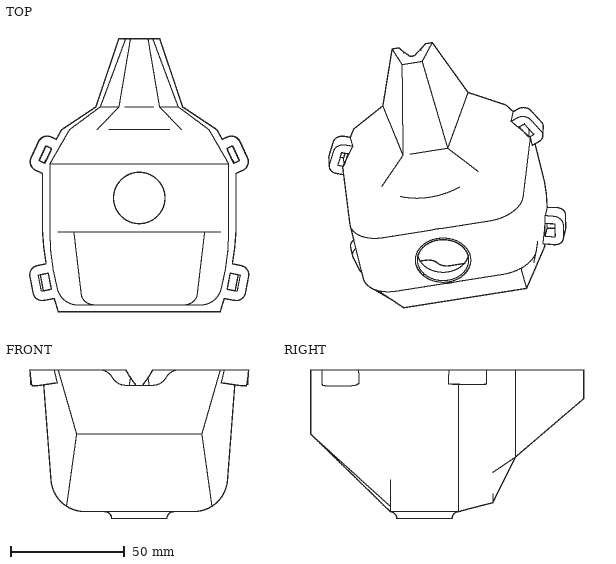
import cadquery as cq
import math

FRONT_Y = 0.0
BOX_START_Y = 35.0
BOX_END_Y = 65.0
SHOULDER_Y = 80.0
SPOUT_ROOT_Y = 90.0
SPOUT_TIP_Y = 120.0

BOX_RIM_HALF = 42.5
BOX_FLOOR_HALF = 37.75
BOX_DEPTH = 62.31
BOX_RADIUS = 15.0
SIDE_WALL = 3.25
WALL = 3.0

FRONT_RIM_HALF = 35.6
FRONT_CORNER_HALF = 27.5
FRONT_DEPTH = 28.2
CAVITY_FRONT_RIM_HALF = 33.8
CAVITY_FRONT_CORNER_HALF = 24.9
CAVITY_FRONT_DEPTH = 26.9
CAVITY_CORNER_RADIUS = 9.0
FRONT_FLARE_STEPS = 3
FRONT_FLARE_POWER = 1.6
CAVITY_FLARE_POWER = 2.0
FRONT_SIDE_FRACTION = 0.8
FLOOR_FRACTION = 0.7

SHOULDER_OUTER = (34.1, 24.0, 34.0, 58.4)
SHOULDER_INNER = (30.6, 20.4, 34.0, 55.4)

SPOUT_ROOT_OUTER = (19.1, 10.0, 38.3)
SPOUT_ROOT_INNER = (17.1, 8.9, 34.3)
SPOUT_TIP_OUTER = (9.0, 4.5, 12.65)
SHOULDER_SEAM_FRACTION = 0.64
SPOUT_SEAM_FRACTION = 0.95
SPOUT_TIP_INNER_HALF = 5.9
SPOUT_TIP_INNER_DEPTH = 7.6
SPOUT_TIP_POWER = 1.4

DRAIN_Y = 50.0
DRAIN_DIAMETER = 22.5
COLLAR_DIAMETER = 24.4
COLLAR_HEIGHT = 3.0

NOTCH_TOP_HALF = 17.6
NOTCH_FLOOR_HALF = 6.0
NOTCH_DEPTH = 6.8

LUG_HEIGHT = 6.3
LUG_CORNER_RADIUS = 4.2
LUG_REACH_INWARD = 5.0
SLOT_LENGTH = 7.1
FRONT_LUG = (41.5, 13.0, -10.9, 8.5, 15.7, 4.4, 5.9)
REAR_LUG = (41.3, 69.1, 24.8, 2.0, 16.2, 2.8, 5.1)

STRAIGHT_TOLERANCE = 1e-6
EDGE_MARGIN = 0.1

BOX_ARC_FRACTIONS = (0, 0.31, 0.62, 0.81, 1)
BOWL_ARC_FRACTIONS = (1, 0.85, 0.7, 0.5, 0.3, 0)
TIP_WIDTH_FRACTIONS = (1, 0.98, 0.85, 0.65, 0.5, 0.3, 0)


def blend(start, end, fraction):
    return start + (end - start) * fraction


def blend_points(start, end, fraction):
    return [
        (blend(a[0], b[0], fraction), blend(a[1], b[1], fraction))
        for a, b in zip(start, end)
    ]



def box_half(rim, floor, depth, radius):
    """Tapered side, corner rounded tangent to side and floor, flat floor."""
    lean = math.atan2(rim - floor, depth)
    tangent = radius * math.tan(math.pi / 4 - lean / 2)
    center_x = floor - tangent
    center_z = radius - depth
    points = [(rim, 0.0)]
    for fraction in BOX_ARC_FRACTIONS:
        angle = blend(-lean, -math.pi / 2, fraction)
        points.append((center_x + radius * math.cos(angle), center_z + radius * math.sin(angle)))
    return points + [(0.0, -depth)]


def sharp_half(rim, corner, depth, side=FRONT_SIDE_FRACTION):
    """Straight side and bottom meeting at a sharp corner."""
    floor = FLOOR_FRACTION
    top = (rim, 0.0)
    tip = (corner, -depth)
    center = (0.0, -depth)
    corner_points = [
        blend_points([top], [tip], side)[0],
        blend_points([top], [tip], (1 + side) / 2)[0],
        tip,
        (corner * (1 + floor) / 2, -depth),
        (corner * floor, -depth),
    ]
    return [top] + corner_points + [center]


def bowl_half(rim, foot, foot_depth, depth):
    """Straight side down to one round bottom."""
    rise = depth - foot_depth
    radius = (foot ** 2 + rise ** 2) / (2 * rise)
    sweep = math.atan2(foot, radius - rise)
    points = [(rim, 0.0)]
    for fraction in BOWL_ARC_FRACTIONS:
        angle = sweep * fraction
        points.append((radius * math.sin(angle), radius - depth - radius * math.cos(angle)))
    return points


def tip_half(rim, depth):
    """Rounded V at the end of the spout."""
    return [
        (rim * share, -depth * (1 - share ** SPOUT_TIP_POWER))
        for share in TIP_WIDTH_FRACTIONS
    ]


def is_straight(start, middle, end):
    run = (end[0] - start[0], end[1] - start[1])
    part = (middle[0] - start[0], middle[1] - start[1])
    return abs(part[0] * run[1] - part[1] * run[0]) < STRAIGHT_TOLERANCE


def section_wire(y, half):
    """Closed symmetric outline in the plane at the given Y."""
    def place(point, side=1):
        return cq.Vector(side * point[0], y, point[1])

    def curve(start, middle, end, straight):
        if straight:
            return cq.Edge.makeLine(start, end)
        return cq.Edge.makeThreePointArc(start, middle, end)

    rim, foot, upper, corner, lower, floor_end, center = half
    bends = [(foot, upper, corner), (corner, lower, floor_end)]
    edges = [cq.Edge.makeLine(place(rim), place(foot))]
    for bend in bends:
        edges.append(curve(*[place(p) for p in bend], is_straight(*bend)))
    flat_floor = abs(floor_end[1] - center[1]) < STRAIGHT_TOLERANCE
    edges.append(curve(place(floor_end), place(center), place(floor_end, -1), flat_floor))
    for bend in reversed(bends):
        edges.append(curve(*[place(p, -1) for p in reversed(bend)], is_straight(*bend)))
    edges.append(cq.Edge.makeLine(place(foot, -1), place(rim, -1)))
    edges.append(cq.Edge.makeLine(place(rim, -1), place(rim)))
    return cq.Wire.assembleEdges(edges)


def loft(stations, ruled=True):
    wires = [section_wire(y, half) for y, half in stations]
    return cq.Workplane(obj=cq.Solid.makeLoft(wires, ruled))


def front_stations(start_y, front, box, power):
    """Sections from the front to the box; only the rim width follows a curve."""
    stations = []
    for step in range(FRONT_FLARE_STEPS + 1):
        fraction = step / FRONT_FLARE_STEPS
        half = blend_points(front, box, fraction)
        flare = 1 - (1 - fraction) ** power
        half[0] = (blend(front[0][0], box[0][0], flare), 0.0)
        stations.append((blend(start_y, BOX_START_Y, fraction), half))
    return stations


def rear_volume(box, shoulder, root, seam, tip):
    """Everything from the start of the box to the tip of the spout."""
    shoulder_end = sharp_half(*root, seam)
    spout_start = sharp_half(*root, SPOUT_SEAM_FRACTION)
    volume = loft([(BOX_START_Y, box), (BOX_END_Y, box)])
    volume = volume.union(loft([(BOX_END_Y, box), (SHOULDER_Y, shoulder)]))
    volume = volume.union(loft([(SHOULDER_Y, shoulder), (SPOUT_ROOT_Y, shoulder_end)]))
    return volume.union(loft([(SPOUT_ROOT_Y, spout_start), (SPOUT_TIP_Y, tip)]))


def outer_volume():
    box = box_half(BOX_RIM_HALF, BOX_FLOOR_HALF, BOX_DEPTH, BOX_RADIUS)
    front = sharp_half(FRONT_RIM_HALF, FRONT_CORNER_HALF, FRONT_DEPTH)
    tip = sharp_half(*SPOUT_TIP_OUTER, SPOUT_SEAM_FRACTION)
    shoulder = bowl_half(*SHOULDER_OUTER)
    rear = rear_volume(box, shoulder, SPOUT_ROOT_OUTER, SHOULDER_SEAM_FRACTION, tip)
    return rear.union(loft(front_stations(FRONT_Y, front, box, FRONT_FLARE_POWER), ruled=False))


def cavity_front(box):
    """Front of the cavity, with its two upright corners rounded."""
    front = sharp_half(CAVITY_FRONT_RIM_HALF, CAVITY_FRONT_CORNER_HALF, CAVITY_FRONT_DEPTH)
    volume = loft(front_stations(FRONT_Y + WALL, front, box, CAVITY_FLARE_POWER), ruled=False)
    wall_y = FRONT_Y + WALL
    upright_edges = cq.selectors.BoxSelector(
        (-BOX_RIM_HALF, wall_y - EDGE_MARGIN, EDGE_MARGIN - CAVITY_FRONT_DEPTH),
        (BOX_RIM_HALF, wall_y + EDGE_MARGIN, -EDGE_MARGIN),
    )
    return volume.edges(upright_edges).fillet(CAVITY_CORNER_RADIUS)


def cavity_volume():
    box = box_half(
        BOX_RIM_HALF - SIDE_WALL, BOX_FLOOR_HALF - SIDE_WALL, BOX_DEPTH - WALL, BOX_RADIUS
    )
    shoulder = bowl_half(*SHOULDER_INNER)
    tip = tip_half(SPOUT_TIP_INNER_HALF, SPOUT_TIP_INNER_DEPTH)
    rear = rear_volume(box, shoulder, SPOUT_ROOT_INNER, SPOUT_SEAM_FRACTION, tip)
    return rear.union(cavity_front(box))


def lug(center_x, center_y, turn, lean, length, slot_width, outer_reach, side):
    """Rounded strap lug with a slot, leaning inwards below the rim."""
    width = outer_reach + LUG_REACH_INWARD
    margin = LUG_HEIGHT / 2
    block = (
        cq.Workplane("XY", origin=((outer_reach - LUG_REACH_INWARD) / 2, 0, -LUG_HEIGHT))
        .rect(width, length)
        .extrude(LUG_HEIGHT + margin)
        .edges("|Z and >X")
        .fillet(LUG_CORNER_RADIUS)
    )
    slot = (
        cq.Workplane("XY", origin=(0, 0, -LUG_HEIGHT))
        .rect(slot_width, SLOT_LENGTH)
        .extrude(LUG_HEIGHT + margin)
    )

    def put(body):
        body = body.rotate((0, 0, 0), (0, 1, 0), lean)
        body = body.rotate((0, 0, 0), (0, 0, 1), turn)
        body = body.translate((center_x, center_y, 0))
        return body if side > 0 else body.mirror("YZ")

    above_rim = cq.Workplane("XY").box(
        2 * SPOUT_TIP_Y, 2 * SPOUT_TIP_Y, LUG_HEIGHT, centered=(True, True, False)
    )
    return put(block).cut(above_rim), put(slot)


def notch():
    """Cutter through the front wall, with an S-shaped flank of two equal arcs on each side."""
    run = NOTCH_TOP_HALF - NOTCH_FLOOR_HALF
    radius = (run ** 2 + NOTCH_DEPTH ** 2) / (4 * NOTCH_DEPTH)
    half_sweep = math.asin(run / 2 / radius) / 2
    bow_x = radius * math.sin(half_sweep)
    bow_z = radius * (1 - math.cos(half_sweep))
    middle_x = (NOTCH_TOP_HALF + NOTCH_FLOOR_HALF) / 2
    middle_z = -NOTCH_DEPTH / 2
    upper_x = NOTCH_TOP_HALF - bow_x
    lower_x = NOTCH_FLOOR_HALF + bow_x
    lower_z = bow_z - NOTCH_DEPTH
    return (
        cq.Workplane("XZ", origin=(0, FRONT_Y - WALL, 0))
        .moveTo(-NOTCH_TOP_HALF, 0)
        .threePointArc((-upper_x, -bow_z), (-middle_x, middle_z))
        .threePointArc((-lower_x, lower_z), (-NOTCH_FLOOR_HALF, -NOTCH_DEPTH))
        .lineTo(NOTCH_FLOOR_HALF, -NOTCH_DEPTH)
        .threePointArc((lower_x, lower_z), (middle_x, middle_z))
        .threePointArc((upper_x, -bow_z), (NOTCH_TOP_HALF, 0))
        .close()
        .extrude(-3 * WALL)
    )


def collar():
    """Ring under the floor, flaring where it meets the floor."""
    foot = COLLAR_DIAMETER / 2
    bow = COLLAR_HEIGHT * (1 - math.sqrt(0.5))
    return (
        cq.Workplane("XZ", origin=(0, DRAIN_Y, 0))
        .moveTo(0, -BOX_DEPTH - COLLAR_HEIGHT)
        .lineTo(foot, -BOX_DEPTH - COLLAR_HEIGHT)
        .threePointArc((foot + bow, -BOX_DEPTH - bow), (foot + COLLAR_HEIGHT, -BOX_DEPTH))
        .lineTo(foot, -BOX_DEPTH + WALL / 2)
        .lineTo(0, -BOX_DEPTH + WALL / 2)
        .close()
        .revolve(360, (0, 0, 0), (0, 1, 0))
    )


def drain_hole():
    bottom_z = -BOX_DEPTH - COLLAR_HEIGHT
    return (
        cq.Workplane("XY", origin=(0, DRAIN_Y, bottom_z))
        .circle(DRAIN_DIAMETER / 2)
        .extrude(-bottom_z)
    )


def part():
    body = outer_volume().union(collar())
    slots = []
    for lug_size in (FRONT_LUG, REAR_LUG):
        for side in (1, -1):
            block, slot = lug(*lug_size, side)
            body = body.union(block)
            slots.append(slot)
    for cutter in [cavity_volume(), drain_hole(), notch()] + slots:
        body = body.cut(cutter)
    return body


result = part()